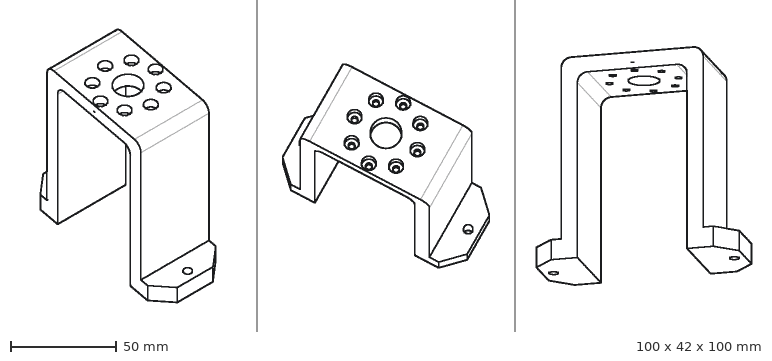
import cadquery as cq

length = 100.0
depth = 42.0
height = 100.0

arch_width = 70.0
wall = 8.0
corner_radius = 5.0
opening_width = arch_width - 2 * wall
opening_height = height - wall

foot_thickness = 10.0
foot_chamfer = 10.0
foot_hole_diameter = 4.5
foot_hole_offset = 44.5

center_hole_diameter = 15.0
screw_count = 8
screw_circle_radius = 17.0
screw_diameter = 3.2
screw_head_diameter = 7.0
screw_head_depth = 5.0


def block(width, block_height):
    """Block centred in X and Y, standing on Z = 0."""
    return cq.Workplane("XY").box(width, depth, block_height, centered=(True, True, False))


def make_feet():
    """Foot slab with chamfered corners and one bolt hole at each end."""
    slab = block(length, foot_thickness).edges("|Z").chamfer(foot_chamfer)
    hole_centers = [(-foot_hole_offset, 0), (foot_hole_offset, 0)]
    return slab.faces(">Z").workplane().pushPoints(hole_centers).hole(foot_hole_diameter)


def make_arch():
    """Solid upright with rounded top corners."""
    return block(arch_width, height).edges("|Y and >Z").fillet(corner_radius)


def make_opening():
    """Space between the legs, open at the bottom, with rounded top corners."""
    return block(opening_width, opening_height).edges("|Y and >Z").fillet(corner_radius)


def drill_top(body):
    """Central hole surrounded by a ring of counterbored screw holes."""
    top_center = cq.Vector(0, 0, height)
    drilled = body.faces(">Z").workplane(origin=top_center).hole(center_hole_diameter, wall)
    return (
        drilled.faces(">Z")
        .workplane(origin=top_center)
        .polarArray(screw_circle_radius, 0, 360, screw_count)
        .cboreHole(screw_diameter, screw_head_diameter, screw_head_depth, wall)
    )


bracket = make_feet().union(make_arch()).cut(make_opening())
result = drill_top(bracket)